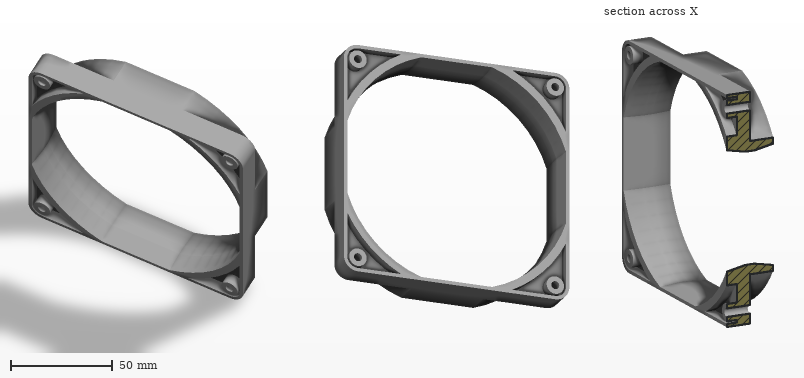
import cadquery as cq

side = 120.0
depth = 26.0
wall = 1.8
plate_depth = depth / 2

hole_spacing = 105.0
hole_diameter = 4.2
boss_diameter = 9.2
corner_radius = (side - hole_spacing) / 2

barrel_radius = 63.0
mouth_radius = barrel_radius - wall
throat_step = 1.0
throat_depth = 5.0
mouth_depth = (depth - throat_depth) / 2

pocket_depth = 5.5
pocket_inner_radius = 65.3


def square_prism(width, y_start, length):
    """Square block centred on the Y axis, running back from y_start."""
    return cq.Workplane("XZ", origin=(0, y_start, 0)).rect(width, width).extrude(-length)


def cylinder(radius, y_start, length):
    """Cylinder on the Y axis, running back from y_start."""
    return cq.Workplane("XZ", origin=(0, y_start, 0)).circle(radius).extrude(-length)


def cone(start_radius, end_radius, y_start, length):
    """Truncated cone on the Y axis, running back from y_start."""
    return (
        cq.Workplane("XZ", origin=(0, y_start, 0))
        .circle(start_radius)
        .workplane(offset=-length)
        .circle(end_radius)
        .loft()
    )


def flattened_cylinder(radius, width, y_start, length):
    """Cylinder trimmed by a square of the given width."""
    return cylinder(radius, y_start, length).intersect(square_prism(width, y_start, length))


def at_mounting_holes(diameter, y_start, length):
    """Four round posts on the mounting hole pattern."""
    return (
        cq.Workplane("XZ", origin=(0, y_start, 0))
        .rect(hole_spacing, hole_spacing, forConstruction=True)
        .vertices()
        .circle(diameter / 2)
        .extrude(-length)
    )


def outer_body():
    """Rounded square front plate with the flattened barrel behind it."""
    plate = square_prism(side, 0, plate_depth).edges("|Y").fillet(corner_radius)
    return plate.union(flattened_cylinder(barrel_radius, side, 0, depth))


def corner_pockets():
    """Corner cavities around the bosses, bounded inward by a round wall."""
    cavity = square_prism(side - 2 * wall, 0, pocket_depth).edges("|Y").fillet(corner_radius - wall)
    mouth_wall = cylinder(pocket_inner_radius, 0, pocket_depth)
    bosses = at_mounting_holes(boss_diameter, 0, pocket_depth)
    return cavity.cut(mouth_wall).cut(bosses)


def passage_taper(start_step, end_step, y_start, length):
    """Stretch of the air passage whose wall goes from one inward step to another."""
    mouth_width = side - 2 * wall
    start_width = mouth_width - 2 * start_step
    end_width = mouth_width - 2 * end_step
    round_taper = cone(mouth_radius - start_step, mouth_radius - end_step, y_start, length)
    square_taper = (
        cq.Workplane("XZ", origin=(0, y_start, 0))
        .rect(start_width, start_width)
        .workplane(offset=-length)
        .rect(end_width, end_width)
        .loft()
    )
    return round_taper.intersect(square_taper)


def air_passage():
    """Mouth narrowing to a straight throat, then widening again to the back."""
    throat_width = side - 2 * (wall + throat_step)
    throat_end = mouth_depth + throat_depth
    mouth = passage_taper(0, throat_step, 0, mouth_depth)
    throat = flattened_cylinder(mouth_radius - throat_step, throat_width, mouth_depth, throat_depth)
    outlet = passage_taper(throat_step, 0, throat_end, depth - throat_end)
    return mouth.union(throat).union(outlet)


result = (
    outer_body()
    .cut(corner_pockets())
    .cut(air_passage())
    .cut(at_mounting_holes(hole_diameter, 0, plate_depth))
)